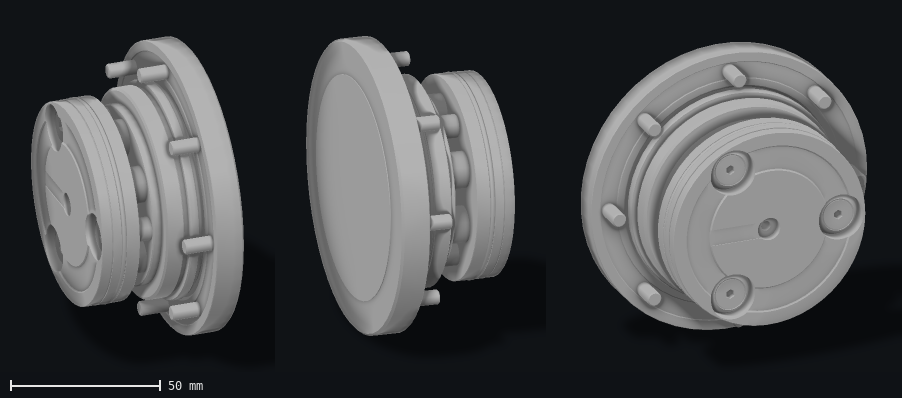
import cadquery as cq
import math


DISC_BACK = 13.3
COLLAR_FRONT = 19.5
BODY_FRONT = 22.5
GROOVE_FRONT = 28.4
RIM_FRONT = 30.5
RIM_BACK = 33.5
FLANGE_FRONT = 35.2
FLANGE_BACK = 45.0
PAD_BACK = 45.3

DISC_RADIUS = 69.8 / 2
DISC_NOSE_RADIUS = 34.8
COLLAR_RADIUS = 30.9
BODY_RADIUS = 36.0
GROOVE_RADIUS = 35.0
LIP_RADIUS = 35.3
LIP_WIDTH = 0.5
RIM_RADIUS = 37.5
FLANGE_RADIUS = 50.0
PAD_RADIUS = 38.2

SMALL_CHAMFER = 0.2
COLLAR_CHAMFER = 0.4
RIM_CHAMFER_LENGTH = 0.5
RIM_CHAMFER_WIDTH = 0.3
BODY_CHAMFER_LENGTH = 0.5
BODY_CHAMFER_WIDTH = 0.9
FLANGE_BACK_CHAMFER = 0.8

NECK_SEAL_RADIUS = 0.9
NECK_SEAL_OUTER_RADIUS = 36.6
RELIEF_RADIUS = 38.1
RELIEF_DEPTH = 1.0

DISC_SEAL_STATION = 7.8
DISC_SEAL_RADIUS = 0.8
DISC_SEAL_OUTER_RADIUS = 35.1
SEAL_GROOVE_WIDTH = 1.9
SEAL_GROOVE_DEPTH = 0.6
SEAL_OVERLAP = 0.2
WITNESS_STATION = 3.7
WITNESS_WIDTH = 0.5
WITNESS_DEPTH = 0.3

RECESS_OUTER_RADIUS = 46.6
RECESS_INNER_RADIUS = 40.4
RECESS_DEPTH = 0.3
PIN_COUNT = 8
PIN_CIRCLE_RADIUS = 43.5
PIN_DIAMETER = 5.0
PIN_FRONT = 25.8
PIN_CHAMFER = 0.4

CLUSTER_COUNT = 3
COLUMN_CIRCLE_RADIUS = 22.8
COLUMN_DIAMETER = 12.5
COLUMN_SPREAD = 25.0
BOLT_CIRCLE_RADIUS = 26.0
BOLT_SHANK_DIAMETER = 8.0
BOLT_SHANK_CHAMFER = 0.3

HEAD_BORE_DIAMETER = 16.2
HEAD_TOP_DEPTH = 2.6
HEAD_RADIUS = 5.2
HEAD_GAP_DEPTH = 0.5
SHOULDER_HOLE_DIAMETER = 11.5
SHOULDER_SPHERE_RADIUS = 9.0
SOCKET_WIDTH = 3.0
SOCKET_DEPTH = 2.0
SOCKET_TURN = 30.0

FACE_GROOVE_OUTER_RADIUS = 30.0
FACE_GROOVE_INNER_RADIUS = 21.0
FACE_GROOVE_DEPTH = 0.5
CENTER_BORE_DIAMETER = 8.0
CENTER_BORE_DEPTH = 3.0
PILOT_DIAMETER = 3.4
PILOT_DEPTH = 2.0
PILOT_TIP = 1.0
SLOT_WIDTH = 5.7
SLOT_DEPTH = 0.3


def revolve(profile):
    """Turn a closed (radius, y) profile about the Y axis."""
    return profile.close().revolve(360, (0, 0, 0), (0, 1, 0))


def turned(points):
    return revolve(cq.Workplane("XY").polyline(points))


def cylinder(radius, front, back, x=0, z=0):
    """Cylinder along Y from front to back."""
    plane = cq.Workplane("XZ", origin=(x, front, z))
    return plane.circle(radius).extrude(front - back)


def tube(outer, inner, front, back):
    return cylinder(outer, front, back).cut(cylinder(inner, front, back))


def disc(radius, front, back, front_chamfer=0, back_chamfer=0):
    """Cylinder on the axis with optional 45 degree end chamfers."""
    solid = cylinder(radius, front, back)
    if front_chamfer:
        solid = solid.faces("<Y").chamfer(front_chamfer)
    if back_chamfer:
        solid = solid.faces(">Y").chamfer(back_chamfer)
    return solid


def face_groove(inner_radius, outer_radius, face, depth):
    """Annular groove sunk into a face, with 45 degree walls."""
    return turned([
        (inner_radius, face),
        (outer_radius, face),
        (outer_radius - depth, face + depth),
        (inner_radius + depth, face + depth),
    ])


def seal_ring(outer_radius, section_radius, station, seat_radius):
    """Ring that sits on a cylinder and bulges outward with a half-round crown."""
    center = outer_radius - section_radius
    section = (
        cq.Workplane("XY")
        .moveTo(seat_radius, station - section_radius)
        .lineTo(center, station - section_radius)
        .threePointArc((outer_radius, station), (center, station + section_radius))
        .lineTo(seat_radius, station + section_radius)
    )
    return revolve(section)


def polar(radius, angle):
    turn = math.radians(angle)
    return radius * math.cos(turn), radius * math.sin(turn)


def flange():
    solid = disc(FLANGE_RADIUS, FLANGE_FRONT, FLANGE_BACK, SMALL_CHAMFER, FLANGE_BACK_CHAMFER)
    solid = solid.union(cylinder(PAD_RADIUS, FLANGE_BACK, PAD_BACK))
    recess = face_groove(RECESS_INNER_RADIUS, RECESS_OUTER_RADIUS, FLANGE_FRONT, RECESS_DEPTH)
    relief = turned([
        (GROOVE_RADIUS, FLANGE_FRONT),
        (RELIEF_RADIUS, FLANGE_FRONT),
        (RELIEF_RADIUS - RELIEF_DEPTH, FLANGE_FRONT + RELIEF_DEPTH),
        (GROOVE_RADIUS, FLANGE_FRONT + RELIEF_DEPTH),
    ])
    solid = solid.cut(recess).cut(relief)
    for index in range(PIN_COUNT):
        x, z = polar(PIN_CIRCLE_RADIUS, index * 360 / PIN_COUNT)
        pin = cylinder(PIN_DIAMETER / 2, PIN_FRONT, FLANGE_FRONT + RECESS_DEPTH, x, z)
        solid = solid.union(pin.faces("<Y").chamfer(PIN_CHAMFER))
    return solid


def neck():
    collar = disc(COLLAR_RADIUS, COLLAR_FRONT, BODY_FRONT, COLLAR_CHAMFER)
    body = turned([
        (0, BODY_FRONT),
        (BODY_RADIUS - BODY_CHAMFER_WIDTH, BODY_FRONT),
        (BODY_RADIUS, BODY_FRONT + BODY_CHAMFER_LENGTH),
        (BODY_RADIUS, GROOVE_FRONT),
        (LIP_RADIUS, GROOVE_FRONT),
        (LIP_RADIUS, GROOVE_FRONT + LIP_WIDTH),
        (0, GROOVE_FRONT + LIP_WIDTH),
    ])
    core = cylinder(GROOVE_RADIUS, GROOVE_FRONT, FLANGE_FRONT)
    rim = turned([
        (0, RIM_FRONT),
        (RIM_RADIUS - RIM_CHAMFER_WIDTH, RIM_FRONT),
        (RIM_RADIUS, RIM_FRONT + RIM_CHAMFER_LENGTH),
        (RIM_RADIUS, RIM_BACK),
        (0, RIM_BACK),
    ])
    rim = rim.faces(">Y").chamfer(SMALL_CHAMFER)
    seal = seal_ring(NECK_SEAL_OUTER_RADIUS, NECK_SEAL_RADIUS, RIM_BACK + NECK_SEAL_RADIUS, GROOVE_RADIUS)
    return collar.union(body).union(core).union(rim).union(seal)


def front_disc():
    solid = disc(DISC_RADIUS, WITNESS_STATION, DISC_BACK, 0, SMALL_CHAMFER)
    solid = solid.union(disc(DISC_NOSE_RADIUS, 0, WITNESS_STATION, SMALL_CHAMFER))
    for station, width, depth in (
        (DISC_SEAL_STATION, SEAL_GROOVE_WIDTH, SEAL_GROOVE_DEPTH),
        (WITNESS_STATION, WITNESS_WIDTH, WITNESS_DEPTH),
    ):
        front = station - width / 2
        solid = solid.cut(tube(FLANGE_RADIUS, DISC_RADIUS - depth, front, front + width))
    seat_radius = DISC_RADIUS - SEAL_GROOVE_DEPTH - SEAL_OVERLAP
    solid = solid.union(seal_ring(DISC_SEAL_OUTER_RADIUS, DISC_SEAL_RADIUS, DISC_SEAL_STATION, seat_radius))

    ring = face_groove(FACE_GROOVE_INNER_RADIUS, FACE_GROOVE_OUTER_RADIUS, 0, FACE_GROOVE_DEPTH)
    slot_length = FACE_GROOVE_INNER_RADIUS + FACE_GROOVE_DEPTH
    slot = cq.Workplane("XY").box(slot_length, SLOT_DEPTH, SLOT_WIDTH, centered=(False, False, True))
    solid = solid.cut(ring).cut(slot.translate((-slot_length, 0, 0)))

    pilot_end = CENTER_BORE_DEPTH + PILOT_DEPTH
    bore = turned([
        (0, 0),
        (CENTER_BORE_DIAMETER / 2, 0),
        (CENTER_BORE_DIAMETER / 2, CENTER_BORE_DEPTH),
        (PILOT_DIAMETER / 2, CENTER_BORE_DEPTH),
        (PILOT_DIAMETER / 2, pilot_end),
        (0, pilot_end + PILOT_TIP),
    ])
    return solid.cut(bore)


def head_clearance():
    """Space left around a sunk bolt head, with its hexagon socket, on the Y axis."""
    bore_radius = HEAD_BORE_DIAMETER / 2
    hole_radius = SHOULDER_HOLE_DIAMETER / 2
    gap_floor = HEAD_TOP_DEPTH + HEAD_GAP_DEPTH
    sphere_center = HEAD_TOP_DEPTH + math.sqrt(SHOULDER_SPHERE_RADIUS**2 - hole_radius**2)
    middle_radius = (hole_radius + bore_radius) / 2

    def dome_depth(radius):
        return sphere_center - math.sqrt(SHOULDER_SPHERE_RADIUS**2 - radius**2)

    profile = (
        cq.Workplane("XY")
        .moveTo(0, 0)
        .lineTo(bore_radius, 0)
        .lineTo(bore_radius, dome_depth(bore_radius))
        .threePointArc((middle_radius, dome_depth(middle_radius)), (hole_radius, HEAD_TOP_DEPTH))
        .lineTo(hole_radius, gap_floor)
        .lineTo(HEAD_RADIUS, gap_floor)
        .lineTo(HEAD_RADIUS, HEAD_TOP_DEPTH)
        .lineTo(0, HEAD_TOP_DEPTH)
    )
    corner_diameter = SOCKET_WIDTH / math.cos(math.pi / 6)
    socket = (
        cq.Workplane("XZ")
        .polygon(6, corner_diameter)
        .extrude(-(HEAD_TOP_DEPTH + SOCKET_DEPTH))
        .rotate((0, 0, 0), (0, 1, 0), SOCKET_TURN)
    )
    return revolve(profile).union(socket)


part = flange().union(neck()).union(front_disc())
clearance = head_clearance()
for index in range(CLUSTER_COUNT):
    bolt_angle = index * 360 / CLUSTER_COUNT
    bolt_x, bolt_z = polar(BOLT_CIRCLE_RADIUS, bolt_angle)
    shank = cylinder(BOLT_SHANK_DIAMETER / 2, DISC_BACK, COLLAR_FRONT, bolt_x, bolt_z)
    part = part.union(shank.faces("<Y").chamfer(BOLT_SHANK_CHAMFER))
    part = part.cut(clearance.translate((bolt_x, 0, bolt_z)))
    pair_angle = bolt_angle + 180 / CLUSTER_COUNT
    for side in (-1, 1):
        x, z = polar(COLUMN_CIRCLE_RADIUS, pair_angle + side * COLUMN_SPREAD)
        part = part.union(cylinder(COLUMN_DIAMETER / 2, DISC_BACK, COLLAR_FRONT, x, z))

result = part